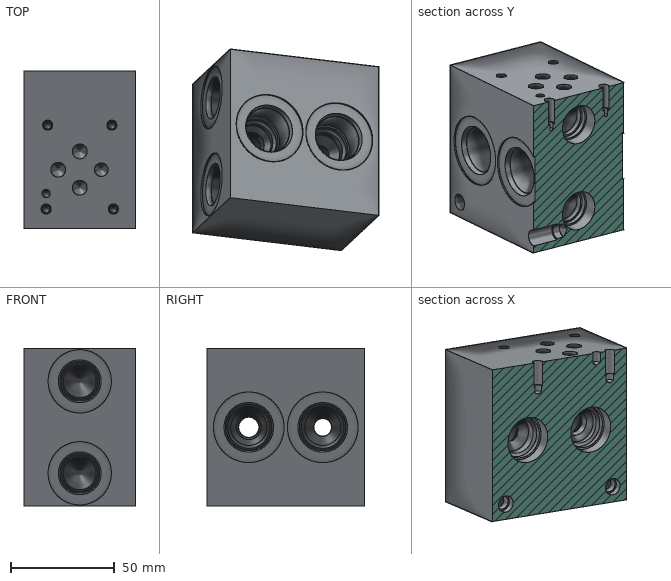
import cadquery as cq
import math

LENGTH_X = 53.98
LENGTH_Y = 76.2
LENGTH_Z = 76.2
MID_X = LENGTH_X / 2
MID_Z = LENGTH_Z / 2

DRILL_POINT_ANGLE = 118.0
SPOTFACE_DEPTH = 0.79
OVERSHOOT = 1.0

AB_SPOTFACE_DIAMETER = 30.6
AB_MOUTH_DIAMETER = 20.65
AB_SEAT_DIAMETER = 19.25
AB_SEAT_DEPTH = 3.3
AB_THREAD_DIAMETER = 19.05
AB_THREAD_DEPTH = 14.5
AB_MINOR_DIAMETER = 17.48
AB_MINOR_DEPTH = 17.0
AB_DRILL_DIAMETER = 15.88
AB_DRILL_DEPTH = 20.0
A_HEIGHT = 15.88
B_HEIGHT = LENGTH_Z - A_HEIGHT

PT_SPOTFACE_DIAMETER = 34.14
PT_MOUTH_DIAMETER = 23.9
PT_SEAT_DIAMETER = 22.55
PT_SEAT_DEPTH = 3.3
PT_THREAD_DIAMETER = 22.23
PT_THREAD_DEPTH = 16.7
PT_MINOR_DIAMETER = 20.45
PT_MINOR_DEPTH = 19.2
PT_DRILL_DIAMETER = 17.5
PT_SPACING = 35.72
P_Y = (LENGTH_Y - PT_SPACING) / 2
T_Y = (LENGTH_Y + PT_SPACING) / 2
T_WAIST_DIAMETER = 8.56
P_THROAT_DIAMETER = 11.9
P_WAIST_DIAMETER = 9.75
P_THROAT_LENGTH = 2.5

MOUNT_THREAD_DIAMETER = 7.92
MOUNT_THREAD_DEPTH = 14.0
MOUNT_DRILL_DIAMETER = 6.53
MOUNT_DRILL_DEPTH = 18.0
MOUNT_EDGE_OFFSET = 7.8

PATTERN_CENTRE_OFFSET = 15.5
PATTERN_X = MID_X + PATTERN_CENTRE_OFFSET
PATTERN_Y = 50.0
SCREW_POSITIONS = [(0, 0), (40.5, -0.75), (40.5, 31.75), (0, 31.0)]
SCREW_THREAD_DIAMETER = 4.83
SCREW_THREAD_DEPTH = 12.0
SCREW_DRILL_DIAMETER = 3.79
SCREW_DRILL_DEPTH = 15.0
PIN_POSITION = (33.0, 31.75)
PIN_DIAMETER = 3.96
PIN_DEPTH = 5.0
PASSAGE_POSITIONS = [(21.5, 25.9), (12.7, PATTERN_CENTRE_OFFSET), (30.2, PATTERN_CENTRE_OFFSET)]
PASSAGE_DIAMETER = 7.14
TANK_PASSAGE_POSITION = (21.5, 5.1)
TANK_PASSAGE_DIAMETER = 6.53
PASSAGE_DEPTH = 2.4


def drill_point_length(large_diameter, small_diameter=0.0):
    """Length of a drill point between two of its diameters."""
    half_angle = math.radians(DRILL_POINT_ANGLE / 2)
    return (large_diameter - small_diameter) / 2 / math.tan(half_angle)


def turned_cutter(profile):
    """Solid of revolution about +Z from (diameter, depth) points; depth runs down -Z."""
    mouth_diameter = profile[0][0]
    last_diameter, last_depth = profile[-1]
    points = [(0, OVERSHOOT), (mouth_diameter / 2, OVERSHOOT)]
    points += [(diameter / 2, -depth) for diameter, depth in profile]
    if last_diameter > 0:
        points.append((0, -last_depth))
    return cq.Workplane("XZ").polyline(points).close().revolve(360, (0, 0), (0, 1))


def on_top(cutter, pattern_position):
    """Place a cutter on the +Z face at a valve pattern position."""
    along, across = pattern_position
    return cutter.translate((PATTERN_X - across, PATTERN_Y - along, LENGTH_Z))


def on_front(cutter, x, z):
    """Place a cutter on the -Y face."""
    return cutter.rotate((0, 0, 0), (1, 0, 0), 90).translate((x, 0, z))


def on_left(cutter, y, z):
    """Place a cutter on the -X face."""
    return cutter.rotate((0, 0, 0), (0, 1, 0), -90).translate((0, y, z))


def on_right(cutter, y, z):
    """Place a cutter on the +X face."""
    return cutter.rotate((0, 0, 0), (0, 1, 0), 90).translate((LENGTH_X, y, z))


def plain_hole(diameter, depth):
    """Blind drilled hole; depth is to the shoulder of the drill point."""
    tip_depth = depth + drill_point_length(diameter)
    return turned_cutter([(diameter, 0), (diameter, depth), (0, tip_depth)])


def tapped_hole(thread_diameter, thread_depth, drill_diameter, drill_depth):
    """Blind tapped hole: the thread as a plain cylinder, then the narrower tap drill."""
    tip_depth = drill_depth + drill_point_length(drill_diameter)
    return turned_cutter([
        (thread_diameter, 0),
        (thread_diameter, thread_depth),
        (drill_diameter, thread_depth),
        (drill_diameter, drill_depth),
        (0, tip_depth),
    ])


def ab_port():
    """Blind port with a spotface, tapered seal seat, thread and stepped bore."""
    return turned_cutter([
        (AB_SPOTFACE_DIAMETER, 0),
        (AB_SPOTFACE_DIAMETER, SPOTFACE_DEPTH),
        (AB_MOUTH_DIAMETER, SPOTFACE_DEPTH),
        (AB_SEAT_DIAMETER, AB_SEAT_DEPTH),
        (AB_THREAD_DIAMETER, AB_SEAT_DEPTH),
        (AB_THREAD_DIAMETER, AB_THREAD_DEPTH),
        (AB_MINOR_DIAMETER, AB_THREAD_DEPTH),
        (AB_MINOR_DIAMETER, AB_MINOR_DEPTH),
        (AB_DRILL_DIAMETER, AB_MINOR_DEPTH),
        (AB_DRILL_DIAMETER, AB_DRILL_DEPTH),
        (0, AB_DRILL_DEPTH + drill_point_length(AB_DRILL_DIAMETER)),
    ])


def pt_port(throat):
    """Half of a through port, from its face to the middle of the block.

    The throat lists the (diameter, depth) points that follow the drilled bore.
    """
    throat_diameter, throat_depth = throat[0]
    drill_depth = throat_depth - drill_point_length(PT_DRILL_DIAMETER, throat_diameter)
    minor_end_depth = PT_MINOR_DEPTH + drill_point_length(PT_MINOR_DIAMETER, PT_DRILL_DIAMETER)
    return turned_cutter([
        (PT_SPOTFACE_DIAMETER, 0),
        (PT_SPOTFACE_DIAMETER, SPOTFACE_DEPTH),
        (PT_MOUTH_DIAMETER, SPOTFACE_DEPTH),
        (PT_SEAT_DIAMETER, PT_SEAT_DEPTH),
        (PT_THREAD_DIAMETER, PT_SEAT_DEPTH),
        (PT_THREAD_DIAMETER, PT_THREAD_DEPTH),
        (PT_MINOR_DIAMETER, PT_THREAD_DEPTH),
        (PT_MINOR_DIAMETER, PT_MINOR_DEPTH),
        (PT_DRILL_DIAMETER, minor_end_depth),
        (PT_DRILL_DIAMETER, drill_depth),
    ] + throat)


result = cq.Workplane("XY").box(LENGTH_X, LENGTH_Y, LENGTH_Z, centered=False)

for port_height in (A_HEIGHT, B_HEIGHT):
    result = result.cut(on_front(ab_port(), MID_X, port_height))

p_throat = [(P_THROAT_DIAMETER, MID_X - P_THROAT_LENGTH), (P_WAIST_DIAMETER, MID_X)]
t_throat = [(T_WAIST_DIAMETER, MID_X)]
for port_y, port_throat in ((P_Y, p_throat), (T_Y, t_throat)):
    half_port = pt_port(port_throat)
    result = result.cut(on_left(half_port, port_y, MID_Z))
    result = result.cut(on_right(half_port, port_y, MID_Z))

mount_hole = tapped_hole(
    MOUNT_THREAD_DIAMETER, MOUNT_THREAD_DEPTH, MOUNT_DRILL_DIAMETER, MOUNT_DRILL_DEPTH
)
for mount_y in (MOUNT_EDGE_OFFSET, LENGTH_Y - MOUNT_EDGE_OFFSET):
    result = result.cut(on_left(mount_hole, mount_y, MOUNT_EDGE_OFFSET))

screw_hole = tapped_hole(
    SCREW_THREAD_DIAMETER, SCREW_THREAD_DEPTH, SCREW_DRILL_DIAMETER, SCREW_DRILL_DEPTH
)
for position in SCREW_POSITIONS:
    result = result.cut(on_top(screw_hole, position))
result = result.cut(on_top(plain_hole(PIN_DIAMETER, PIN_DEPTH), PIN_POSITION))
for position in PASSAGE_POSITIONS:
    result = result.cut(on_top(plain_hole(PASSAGE_DIAMETER, PASSAGE_DEPTH), position))
tank_passage = plain_hole(TANK_PASSAGE_DIAMETER, PASSAGE_DEPTH)
result = result.cut(on_top(tank_passage, TANK_PASSAGE_POSITION))